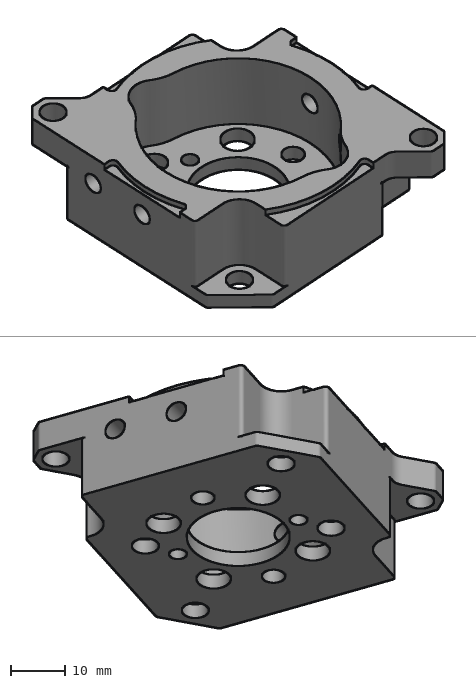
import cadquery as cq
import math

overall_length = 61.9
body_size = 50.8
height = 19.05
half_body = body_size / 2
half_length = overall_length / 2

floor_thickness = 3.1
tab_thickness = 6.3
tab_underside = height - tab_thickness

tab_tip_chamfer = 2.5
tab_flank_offset = 11.2
tab_root_radius = 3.0
tab_hole = (27.0, 21.4)

pocket_wall_x = 19.9
pocket_wall_y = 12.6
pocket_radius = 4.35

notch_wall = 13.75
notch_radius = 4.35
flange_chamfer = 8.7
flange_hole = (-18.0, 18.0)

edge_radius = 0.8

cavity_radius = 19.0
lobe_center = (16.65, 5.15)
lobe_radius = 4.8
lobe_blend_radius = 9.9

screw_diameter = 5.0
bore_diameter = 19.05
large_hole_diameter = 6.4
large_hole_offset = 10.3
medium_hole_diameter = 4.35
medium_hole_offset = 14.5
small_hole_diameter = 3.3
small_hole_offset = 12.5

cross_hole_diameter = 4.0
cross_hole_height = 12.7
cross_hole_spacing = 12.7

recess_depth = 1.3
rim_radius = 24.7
recess_half_width = 9.8
recess_corner_radius = 1.0


def opposite(points):
    """The points turned half a turn about the Z axis."""
    return [(-x, -y, *rest) for x, y, *rest in points]


def rounded_prism(corners, bottom, top):
    """Extrude a closed outline of (x, y, radius) corners between two levels."""
    arcs = []
    for i, (x, y, radius) in enumerate(corners):
        corner = cq.Vector(x, y)
        to_previous = (cq.Vector(*corners[i - 1][:2]) - corner).normalized()
        to_next = (cq.Vector(*corners[(i + 1) % len(corners)][:2]) - corner).normalized()
        half_angle = to_previous.getAngle(to_next) / 2
        tangent_length = radius / math.tan(half_angle)
        apex_distance = radius / math.sin(half_angle) - radius
        apex = corner + (to_previous + to_next).normalized() * apex_distance
        start = corner + to_previous * tangent_length
        end = corner + to_next * tangent_length
        arcs.append((start.toTuple()[:2], apex.toTuple()[:2], end.toTuple()[:2]))

    outline = cq.Workplane("XY").workplane(offset=bottom).moveTo(*arcs[0][2])
    for start, apex, end in arcs[1:] + arcs[:1]:
        outline = outline.lineTo(*start).threePointArc(apex, end)
    return outline.close().extrude(top - bottom)


def make_body():
    """Three stacked layers whose outlines differ only at the corners."""
    pocket = [
        (half_body, pocket_wall_y, edge_radius),
        (pocket_wall_x, pocket_wall_y, pocket_radius),
        (pocket_wall_x, half_body, edge_radius),
    ]
    tab = [
        (half_body, half_body - tab_flank_offset, tab_root_radius),
        (half_length, half_length - tab_flank_offset, edge_radius),
        (half_length, half_body - tab_tip_chamfer, edge_radius),
        (half_length - tab_tip_chamfer, half_body, edge_radius),
    ]
    flange = [
        (flange_chamfer - half_body, half_body, edge_radius),
        (-half_body, half_body - flange_chamfer, edge_radius),
    ]
    notch = [
        (-notch_wall, half_body, edge_radius),
        (-notch_wall, notch_wall, notch_radius),
        (-half_body, notch_wall, edge_radius),
    ]
    lower_half = pocket + flange
    middle_half = pocket + notch
    upper_half = tab + notch
    lower = rounded_prism(lower_half + opposite(lower_half), 0, floor_thickness)
    middle = rounded_prism(middle_half + opposite(middle_half), floor_thickness, tab_underside)
    upper = rounded_prism(upper_half + opposite(upper_half), tab_underside, height)
    return lower.union(middle).union(upper)


def make_cavity():
    """Round cavity with two blended lobes, open at the top."""
    depth = height - floor_thickness
    base = cq.Workplane("XY").workplane(offset=floor_thickness)
    lobes = base.pushPoints([lobe_center] + opposite([lobe_center])).circle(lobe_radius).extrude(depth)
    cavity = base.circle(cavity_radius).extrude(depth).union(lobes)
    center_distance = math.hypot(*lobe_center)
    lobe_angle = math.atan2(lobe_center[1], lobe_center[0])
    crossing_angle = math.acos(
        (cavity_radius**2 + center_distance**2 - lobe_radius**2) / (2 * cavity_radius * center_distance)
    )
    for turn in (0, math.pi):
        for side in (-1, 1):
            angle = turn + lobe_angle + side * crossing_angle
            crossing = (
                cavity_radius * math.cos(angle),
                cavity_radius * math.sin(angle),
                floor_thickness + depth / 2,
            )
            cavity = cavity.edges(cq.NearestToPointSelector(crossing)).fillet(lobe_blend_radius)
    return cavity


def make_vertical_holes():
    """All holes along Z, each running the full height."""

    def drills(points, diameter):
        return cq.Workplane("XY").pushPoints(points).circle(diameter / 2).extrude(height)

    screw_points = [tab_hole, flange_hole, lobe_center]
    signs = (-1, 1)
    large_points = [(sx * large_hole_offset, sy * large_hole_offset) for sx in signs for sy in signs]
    holes = drills([(0, 0)], bore_diameter)
    holes = holes.union(drills(screw_points + opposite(screw_points), screw_diameter))
    holes = holes.union(drills(large_points, large_hole_diameter))
    holes = holes.union(drills([(0, s * medium_hole_offset) for s in signs], medium_hole_diameter))
    return holes.union(drills([(s * small_hole_offset, 0) for s in signs], small_hole_diameter))


def make_cross_holes():
    """One hole through both walls, and one offset hole through each wall into the cavity."""

    def drill(x, direction):
        plane = cq.Plane(origin=(x, 0, cross_hole_height), xDir=(1, 0, 0), normal=(0, direction, 0))
        return cq.Workplane(plane).circle(cross_hole_diameter / 2).extrude(half_body)

    holes = drill(0, -1).union(drill(0, 1))
    return holes.union(drill(-cross_hole_spacing, -1)).union(drill(cross_hole_spacing, 1))


def make_rim_recesses():
    """Shallow cuts that leave a round rim, one along each side face."""
    bottom = height - recess_depth
    rim = cq.Workplane("XY").workplane(offset=bottom).circle(rim_radius).extrude(recess_depth)
    rim_meeting = math.sqrt(rim_radius**2 - recess_half_width**2)

    def recess(x_range, rounded_ends):
        blank = (
            cq.Workplane("XY")
            .box(x_range[1] - x_range[0], half_body, recess_depth, centered=False)
            .translate((x_range[0], 0, bottom))
            .cut(rim)
        )
        for x in rounded_ends:
            corner = (x, rim_meeting, bottom + recess_depth / 2)
            blank = blank.edges(cq.NearestToPointSelector(corner)).fillet(recess_corner_radius)
        return blank

    long_side = recess((-recess_half_width, recess_half_width), (-recess_half_width, recess_half_width))
    notch_side = recess((-recess_half_width, notch_wall), (-recess_half_width,))
    notch_side = notch_side.rotate((0, 0, 0), (0, 0, 1), -90)
    half = long_side.union(notch_side)
    return half.union(half.rotate((0, 0, 0), (0, 0, 1), 180))


result = (
    make_body()
    .cut(make_cavity())
    .cut(make_vertical_holes())
    .cut(make_cross_holes())
    .cut(make_rim_recesses())
)